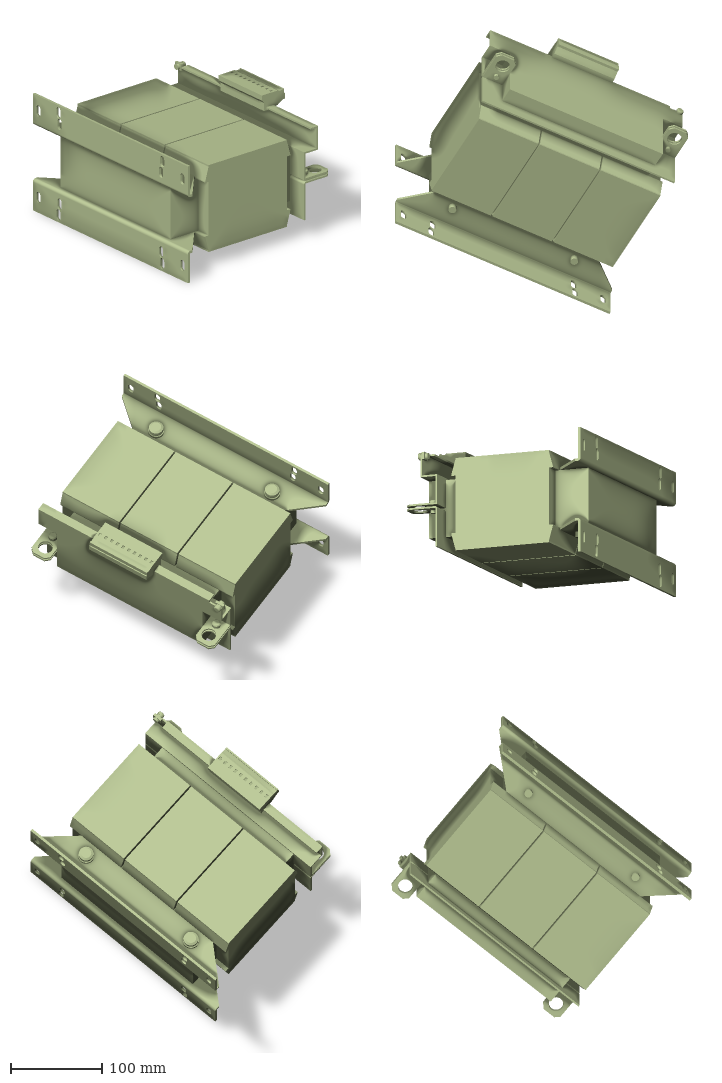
import cadquery as cq


core_half_x = 95.0
core_half_z = 32.0
core_front = 7.2
core_back = 197.3
yoke_depth = 39.5

coil_count = 3
coil_pitch = 75.8
coil_width = 74.0
coil_half_z = 51.8
coil_flare = 4.8
coil_front = 46.7
coil_back = 158.5
coil_shoulder = 2.0
coil_tip = 1.0

bracket_length = 267.0
bracket_half_height = 69.7
bracket_thickness = 3.0
bracket_depth = 41.0
bracket_straight_depth = 6.7
bend_outer_radius = 3.7
bend_inner_radius = bend_outer_radius - bracket_thickness
slot_length = 13.0
slot_width = 7.0
slot_places = [(124.2, 51.5), (89.5, 61.0), (87.5, 47.5)]

bolt_x = 75.8
bolt_y = 26.5
bolt_shank_radius = 4.3
bolt_bottom = -41.0
bolt_washers = [(8.8, 2.7), (7.5, 1.5)]
bolt_head_radius = 8.0
bolt_head_height = 5.5
bolt_head_chamfer_height = 1.5
bolt_head_chamfer_width = 2.5

clamp_half_x = 119.5
clamp_thickness = 2.0
clamp_front = 177.3
clamp_bend_radius = 3.0
tab_width = clamp_half_x - core_half_x
tab_back = 215.5
tab_chamfer = 4.8
upper_tab_bottom = 0.5
lower_tab_top = -1.5
lower_clamp_bottom = -47.0
eye_radius = 8.0
eye_x = 106.8
eye_y = 202.7

rail_back = core_back
rail_top = 60.3
rail_lip_front = 187.5
rail_notch_x = -103.9
rail_notch_top = 56.5

clamp_screw_y = 187.5
clamp_screw_head_radius = 4.8
clamp_screw_head_chamfer = 1.0
clamp_screw_head_height = 4.8
clamp_screw_radius = 3.0
clamp_screw_bottom = -7.0

earth_x = -115.5
earth_z = 56.0
earth_head_radius = 4.0
earth_head_rounding = 1.5
earth_head_back = 201.0
earth_washer_width = 10.7
earth_washer_height = 8.0
earth_washer_front = 192.2
earth_nut_radius = 3.5
earth_nut_front = 189.3

terminal_left = -32.0
terminals = [(21.5, 3), (22.7, 3), (14.7, 2), (15.8, 2)]
terminal_top = 75.8
opening_pitch = 7.5
opening_width = 3.0
opening_length = 4.0
opening_depth = 1.3
opening_y = 197.5
groove_depth = 1.0


def block(x, y, z):
    """Box from (low, high) pairs along the three axes."""
    size = (x[1] - x[0], y[1] - y[0], z[1] - z[0])
    return cq.Workplane("XY").box(*size, centered=False).translate((x[0], y[0], z[0]))


def disc_z(x, y, radius, low, high):
    """Upright cylinder between two heights."""
    return cq.Workplane("XY", origin=(x, y, low)).circle(radius).extrude(high - low)


def disc_y(x, z, radius, front, back):
    """Cylinder lying along Y between two depths."""
    return cq.Workplane("XZ", origin=(x, front, z)).circle(radius).extrude(front - back)


def both_sides(shape):
    """A shape together with its mirror image across the YZ plane."""
    return shape.union(shape.mirror("YZ"))


def make_core():
    """Front and rear yokes; the legs between them lie inside the coils."""
    front = (core_front, core_front + yoke_depth)
    back = (core_back - yoke_depth, core_back)
    x = (-core_half_x, core_half_x)
    z = (-core_half_z, core_half_z)
    return block(x, front, z).union(block(x, back, z))


def make_coil(x):
    """Coil whose ends flare outwards to rest on the upper and lower faces of the yokes."""
    tip_front = coil_front - coil_flare
    tip_back = coil_back + coil_flare
    tip_top = core_half_z + coil_tip
    shoulder_z = coil_half_z - coil_shoulder
    upper_half = [
        (coil_front, 0),
        (coil_front, core_half_z),
        (tip_front, core_half_z),
        (tip_front, tip_top),
        (coil_front, shoulder_z),
        (coil_front, coil_half_z),
        (coil_back, coil_half_z),
        (coil_back, shoulder_z),
        (tip_back, tip_top),
        (tip_back, core_half_z),
        (coil_back, core_half_z),
        (coil_back, 0),
    ]
    upper = (
        cq.Workplane("YZ", origin=(x - coil_width / 2, 0, 0))
        .polyline(upper_half)
        .close()
        .extrude(coil_width)
    )
    return upper.union(upper.mirror("XY"))


def make_front_bracket():
    """Upper angle bracket: slotted upright plate and tapered flange on the core."""
    low = core_half_z
    high = low + bracket_thickness
    angle = (
        cq.Workplane("YZ", origin=(-bracket_length / 2, 0, 0))
        .moveTo(0, bracket_half_height)
        .lineTo(0, low + bend_outer_radius)
        .radiusArc((bend_outer_radius, low), -bend_outer_radius)
        .lineTo(bracket_depth, low)
        .lineTo(bracket_depth, high)
        .lineTo(bend_outer_radius, high)
        .radiusArc((bracket_thickness, low + bend_outer_radius), bend_inner_radius)
        .lineTo(bracket_thickness, bracket_half_height)
        .close()
        .extrude(bracket_length)
    )
    taper = (
        cq.Workplane("XY", origin=(0, 0, low))
        .moveTo(bracket_length / 2, bracket_straight_depth)
        .lineTo(core_half_x, bracket_depth)
        .lineTo(bracket_length / 2, bracket_depth)
        .close()
        .extrude(bracket_thickness)
    )
    slots = (
        cq.Workplane("XZ")
        .pushPoints(slot_places)
        .slot2D(slot_length, slot_width, 90)
        .extrude(-bracket_thickness)
    )
    return angle.cut(both_sides(taper)).cut(both_sides(slots))


def make_core_bolt():
    """Bolt with two washers and a chamfered head, passing through the core."""
    level = core_half_z + bracket_thickness
    bolt = disc_z(bolt_x, bolt_y, bolt_shank_radius, bolt_bottom, level)
    for radius, height in bolt_washers:
        bolt = bolt.union(disc_z(bolt_x, bolt_y, radius, level, level + height))
        level += height
    head = (
        disc_z(bolt_x, bolt_y, bolt_head_radius, level, level + bolt_head_height)
        .faces(">Z")
        .chamfer(bolt_head_chamfer_height, bolt_head_chamfer_width)
    )
    return bolt.union(head)


def make_tab(low):
    """Right-hand lifting tab with chamfered corners and an eye."""
    tab = block(
        (clamp_half_x - tab_width, clamp_half_x),
        (clamp_front, tab_back),
        (low, low + clamp_thickness),
    )
    tab = tab.edges("|Z and >Y").chamfer(tab_chamfer)
    return tab.cut(disc_z(eye_x, eye_y, eye_radius, low, low + clamp_thickness))


def make_upper_clamp():
    """Plate beside the core, ledge over the core, and the rail with its lip."""
    length = (-clamp_half_x, clamp_half_x)
    ledge_top = core_half_z + clamp_thickness
    rail_front = rail_back - clamp_thickness
    plate = block(length, (clamp_front, clamp_front + clamp_thickness), (upper_tab_bottom, ledge_top))
    ledge = block(length, (clamp_front, rail_back), (core_half_z, ledge_top))
    rail = block(length, (rail_front, rail_back), (core_half_z, rail_top))
    lip = block(length, (rail_lip_front, rail_back), (rail_top - clamp_thickness, rail_top))
    notch = block(
        (-clamp_half_x, rail_notch_x),
        (rail_lip_front, rail_back),
        (rail_notch_top, rail_top),
    )
    clamp = plate.union(ledge).union(rail.union(lip).cut(notch))
    return clamp.union(both_sides(make_tab(upper_tab_bottom)))


def make_lower_clamp():
    """Plate beside and below the core, rounded where it bends into the tabs."""
    plate = block(
        (-clamp_half_x, clamp_half_x),
        (clamp_front, clamp_front + clamp_thickness),
        (lower_clamp_bottom, lower_tab_top),
    )
    clamp = plate.union(both_sides(make_tab(lower_tab_top - clamp_thickness)))
    core_opening = block(
        (-core_half_x, core_half_x),
        (clamp_front, core_back),
        (-core_half_z, lower_tab_top),
    )
    return clamp.cut(core_opening).faces(">Z").edges("<Y").fillet(clamp_bend_radius)


def make_clamp_screw():
    """Screw holding the upper and lower tabs together."""
    seat = upper_tab_bottom + clamp_thickness
    head_top = seat + clamp_screw_head_height
    head = disc_z(eye_x, clamp_screw_y, clamp_screw_head_radius, seat, head_top)
    head = head.faces(">Z").chamfer(clamp_screw_head_chamfer)
    return head.union(disc_z(eye_x, clamp_screw_y, clamp_screw_radius, clamp_screw_bottom, seat))


def make_earth_screw():
    """Screw head behind the rail, clamping washer and round nut in front of it."""
    head = disc_y(earth_x, earth_z, earth_head_radius, rail_back, earth_head_back)
    head = head.faces(">Y").fillet(earth_head_rounding)
    shank = disc_y(earth_x, earth_z, earth_nut_radius, earth_nut_front, rail_back)
    washer = block(
        (earth_x - earth_washer_width / 2, earth_x + earth_washer_width / 2),
        (earth_washer_front, rail_back - clamp_thickness),
        (earth_z - earth_washer_height / 2, earth_z + earth_washer_height / 2),
    )
    return head.union(shank).union(washer)


def make_terminal_block():
    """Row of terminals on the rail, with wire openings in the top face."""
    profile = [
        (180.8, terminal_top),
        (180.8, 69.7),
        (183.7, 66.2),
        (183.7, 56.5),
        (188.5, 56.5),
        (203.0, 58.5),
        (210.0, 63.3),
        (213.3, 63.3),
        (213.3, 70.2),
        (212.3, 70.2),
        (212.3, terminal_top),
        (210.5, terminal_top),
        (210.5, terminal_top - groove_depth),
        (205.5, terminal_top - groove_depth),
        (203.7, terminal_top),
    ]
    total_width = sum(width for width, _ in terminals)
    body = (
        cq.Workplane("YZ", origin=(terminal_left, 0, 0))
        .polyline(profile)
        .close()
        .extrude(total_width)
    )
    left = terminal_left
    for width, count in terminals:
        openings = (
            cq.Workplane("XY", origin=(left + width / 2, opening_y, terminal_top))
            .rarray(opening_pitch, opening_length, count, 1)
            .rect(opening_width, opening_length)
            .extrude(-opening_depth)
        )
        body = body.cut(openings)
        left += width
    return body


result = make_core()
for index in range(coil_count):
    result = result.union(make_coil((index - (coil_count - 1) / 2) * coil_pitch))

front_bracket = make_front_bracket()
result = result.union(front_bracket).union(front_bracket.mirror("XY"))
result = result.union(both_sides(make_core_bolt()))
result = result.union(make_upper_clamp()).union(make_lower_clamp())
result = result.union(both_sides(make_clamp_screw()))
result = result.union(make_earth_screw()).union(make_terminal_block())